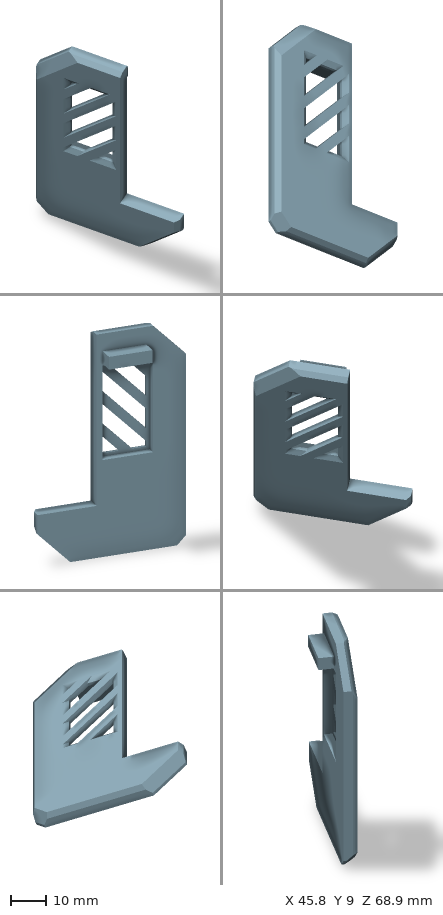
import cadquery as cq
import math

height = 68.9
width = 45.8
thickness = 4.4
column_width = 27.6
foot_height = 16.05
top_corner = 10.2
low_corner = 2.75
foot_corner = 10.05

side_bevel = (1.1, 1.65)
end_bevel = (0.9, 1.65)
top_corner_bevel = (3.4, 2.1)
low_corner_bevel = (2.1, 3.45)

window_left = 9.6
window_bottom = 29.3
window_width = 16.8
window_height = 30.4
mouth_inset = 1.65
mouth_depth = 0.95
grille_depth = 1.9
pocket_margin = 1.0

bar_count = 4
bar_pitch = 10.0
bar_rise = 4.0
lowest_bar = -8.4

tab_left = 12.25
tab_bottom = 59.5
tab_width = 13.45
tab_height = 3.9
tab_length = 9.0 - thickness


def box(left, bottom, size_x, size_z, front, depth):
    """Block with its lower left front corner at (left, front, bottom)."""
    return cq.Workplane("XY").box(size_x, depth, size_z, centered=False).translate((left, front, bottom))


def prism(points, depth):
    """Extrude an XZ outline from the front face towards +Y."""
    return cq.Workplane("XZ").polyline(points).close().extrude(-depth)


def bevel_cutter(start, end, inset, depth):
    """Triangular bar along a front edge; the part lies left of start -> end."""
    length = math.dist(start, end)
    along_x = (end[0] - start[0]) / length
    along_z = (end[1] - start[1]) / length
    origin = (start[0] - along_x * height, 0, start[1] - along_z * height)
    plane = cq.Plane(origin=origin, xDir=(-along_z, 0, along_x), normal=(along_x, 0, along_z))
    section = cq.Workplane(plane).polyline([(0, 0), (inset, 0), (0, -depth)]).close()
    return section.extrude(length + 2 * height)


def make_plate():
    low_left = (low_corner, 0)
    low_right = (width - foot_corner, 0)
    tip_bottom = (width, foot_corner)
    tip_top = (width, foot_height)
    inner_corner = (column_width, foot_height)
    top_right = (column_width, height)
    top_left = (top_corner, height)
    left_top = (0, height - top_corner)
    left_bottom = (0, low_corner)
    plate = prism(
        [low_left, low_right, tip_bottom, tip_top, inner_corner, top_right, top_left, left_top, left_bottom],
        thickness,
    )
    beveled_edges = [
        (low_left, low_right, end_bevel),
        (low_right, tip_bottom, low_corner_bevel),
        (tip_bottom, tip_top, side_bevel),
        (top_right, top_left, end_bevel),
        (top_left, left_top, top_corner_bevel),
        (left_top, left_bottom, side_bevel),
        (left_bottom, low_left, low_corner_bevel),
    ]
    for start, end, (inset, depth) in beveled_edges:
        plate = plate.cut(bevel_cutter(start, end, inset, depth))
    return plate


def make_bars():
    """Parallel 45 degree bars, longer than the window they cross."""
    right = window_left + window_width
    bars = cq.Workplane("XZ")
    for index in range(bar_count):
        low = window_bottom + lowest_bar + index * bar_pitch
        high = low + bar_rise
        outline = [
            (window_left, low),
            (right, low + window_width),
            (right, high + window_width),
            (window_left, high),
        ]
        bars = bars.add(prism(outline, grille_depth))
    return bars.combine()


def make_window_cutter():
    throat_left = window_left + mouth_inset
    throat_bottom = window_bottom + mouth_inset
    throat_width = window_width - 2 * mouth_inset
    throat_height = window_height - 2 * mouth_inset
    mouth = (
        cq.Workplane("XZ")
        .center(window_left + window_width / 2, window_bottom + window_height / 2)
        .rect(window_width, window_height)
        .workplane(offset=-mouth_depth)
        .rect(throat_width, throat_height)
        .loft(ruled=True)
    )
    throat = box(throat_left, throat_bottom, throat_width, throat_height, 0, grille_depth)
    pocket = box(
        throat_left - pocket_margin,
        throat_bottom - pocket_margin,
        throat_width + 2 * pocket_margin,
        throat_height + 2 * pocket_margin,
        grille_depth,
        thickness - grille_depth,
    )
    openings = mouth.union(throat).cut(make_bars())
    return openings.union(pocket)


tab = box(tab_left, tab_bottom, tab_width, tab_height, thickness, tab_length)
result = make_plate().cut(make_window_cutter()).union(tab)